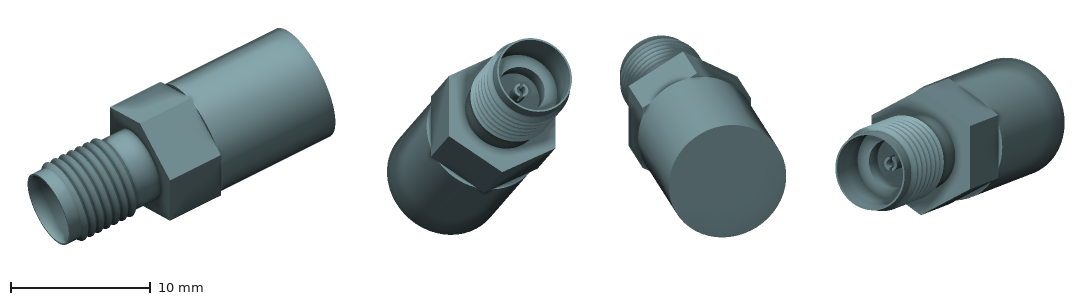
import cadquery as cq

total_length = 21.62

barrel_diameter = 8.65
barrel_length = 9.53
hex_across_flats = 8.0
hex_length = 4.32
hex_back = total_length - barrel_length
hex_front = hex_back - hex_length

tip_radius = 2.8
tip_length = 1.02
neck_radius = 2.79
neck_length = 1.99
thread_turns = 7
thread_crest_radius = 3.11
thread_root_radius = 2.7
thread_back = hex_front - neck_length
thread_pitch = (thread_back - tip_length) / thread_turns

socket_radius = 2.68
socket_depth = 3.15
recess_radius = 1.75
recess_depth = 1.3
recess_floor = socket_depth + recess_depth

contact_radius = 0.52
contact_bore_radius = 0.32
contact_bore_depth = 0.86
contact_slot_width = 0.22


def cylinder(radius, y_start, y_end):
    """Solid cylinder on the Y axis between two positions."""
    return cq.Workplane("XZ", origin=(0, y_start, 0)).circle(radius).extrude(y_start - y_end)


def make_barrel():
    return cylinder(barrel_diameter / 2, hex_back, total_length)


def make_hex():
    """Wrench hexagon with two of its corners above and below the axis."""
    base = cq.Workplane("XZ", origin=(0, hex_front, 0))
    return base.polygon(6, hex_across_flats, circumscribed=True).extrude(-hex_length)


def make_nose():
    """Tip, ridged thread and neck, revolved from one half profile."""
    profile = cq.Workplane("XY").moveTo(0, 0).lineTo(tip_radius, 0).lineTo(tip_radius, tip_length)
    for turn in range(thread_turns):
        ridge_start = tip_length + turn * thread_pitch
        if turn > 0:
            profile = profile.lineTo(thread_root_radius, ridge_start)
        profile = profile.lineTo(thread_crest_radius, ridge_start + thread_pitch / 2)
    profile = profile.lineTo(neck_radius, thread_back).lineTo(neck_radius, hex_front).lineTo(0, hex_front)
    return profile.close().revolve(360, (0, 0, 0), (0, 1, 0))


def make_cavity():
    """Socket and recess, open at the mating end."""
    socket = cylinder(socket_radius, 0, socket_depth)
    recess = cylinder(recess_radius, socket_depth, recess_floor)
    return socket.union(recess)


def make_contact():
    """Center contact with a blind bore and a vertical slot of the same depth."""
    contact = cylinder(contact_radius, socket_depth, recess_floor)
    bore = cylinder(contact_bore_radius, socket_depth, socket_depth + contact_bore_depth)
    slot_face = cq.Workplane("XZ", origin=(0, socket_depth, 0)).rect(contact_slot_width, 2 * contact_radius)
    slot = slot_face.extrude(-contact_bore_depth)
    return contact.cut(bore).cut(slot)


shell = make_barrel().union(make_hex()).union(make_nose())
result = shell.cut(make_cavity()).union(make_contact())